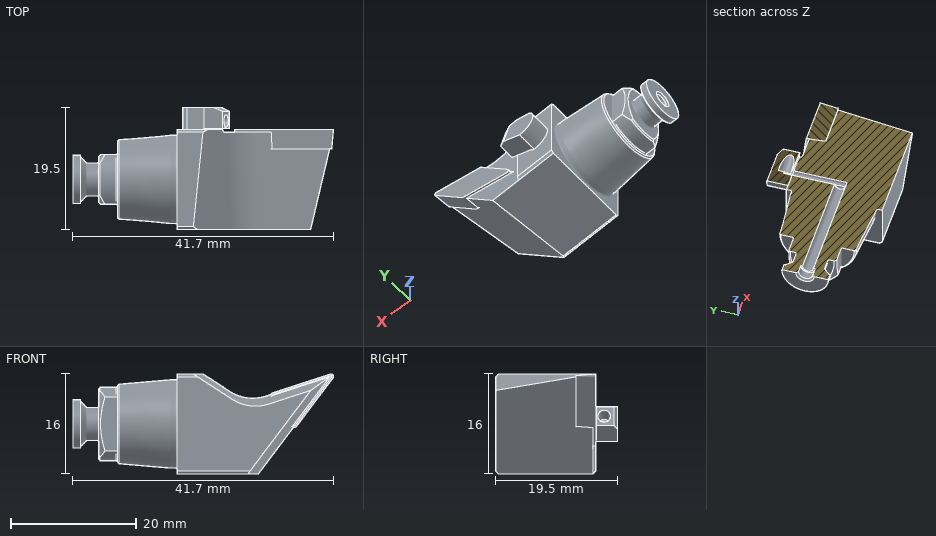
import cadquery as cq
import math


block = 16.0
half = block / 2
block_length = 25.85
block_chamfer = 0.45

knob_back = -16.68
knob_front = -15.43
knob_cone_end = -14.45
nut_back = -12.55
spigot_back = -9.55
taper_start = -9.25
taper_end = -1.0
knob_radius = 3.88
knob_cone_radius = 3.63
neck_radius = 2.65
nut_radius = 5.88
spigot_back_radius = 6.13
taper_start_radius = 6.38
collar_radius = 7.1
neck_fillet = 0.15
root_fillet = 0.2

flat_half_width = 4.0
nut_chamfer = 0.25
bevel_half_width = 3.65
bevel_radius = 11.1
bevel_angle = 42

mouth_radius = 1.5
mouth_bore_radius = 1.15
mouth_bevel_depth = 0.35
mouth_bore_depth = 1.65
coolant_radius = 0.88
drill_half_angle = 59
feed_radius = 0.4

insert_angle = 35
insert_edge = 11.1
insert_thickness = 3.13
clearance_angle = 5
nose_radius = 0.4
tip_x = 25
rake_angle = 18
flank_angle = rake_angle + insert_angle

rake_recess = 0.13
flank_recess = 0.25
valley_radius = 6.85
valley_start_x = 4.15
valley_angle = 33

relief_start_x = 7.3
relief_depth = 0.45
relief_fillet = 0.4

nozzle_x = 3.7
nozzle_radius = 2.85
nozzle_height = 3.5
nozzle_shoulder = (1.6, 1.85)
nozzle_crest = (4.3, nozzle_radius)
nozzle_end_top = (7.3, 2.7)
nozzle_end_bottom = (8.35, -0.2)
tongue_gap = 0.13
tongue_bevel = 0.63
tongue_bevel_length = 1.35
jet_radius = 1.0
jet_height = 1.35


def along(angle, length=1.0):
    """Vector in the XZ plane at an elevation angle in degrees above +X."""
    return length * math.cos(math.radians(angle)), length * math.sin(math.radians(angle))


def shifted(point, angle, length):
    dx, dz = along(angle, length)
    return point[0] + dx, point[1] + dz


def side_plane(y):
    """XZ sketch plane at the given Y, extruding toward -Y."""
    return cq.Workplane("XZ", origin=(0, y, 0))


nose_center = (tip_x - nose_radius, half - nose_radius)
bisector = (rake_angle + flank_angle) / 2
sharp_tip = shifted(nose_center, bisector, nose_radius / math.sin(math.radians(insert_angle / 2)))
rake_corner = shifted(sharp_tip, rake_angle, -insert_edge)
flank_corner = shifted(sharp_tip, flank_angle, -insert_edge)
far_corner = shifted(rake_corner, flank_angle, -insert_edge)


def inclined_prism(sketch, inward_angle):
    """Prism of a sketch at Y = half, run to Y = -half while drifting by the clearance angle."""
    drift = block * math.tan(math.radians(clearance_angle))
    dx, dz = along(inward_angle, drift)
    return cq.Workplane(cq.Solid.extrudeLinear(sketch.val(), [], cq.Vector(dx, -block, dz)))


def insert_outline():
    return cq.Sketch().polygon([sharp_tip, rake_corner, far_corner, flank_corner, sharp_tip])


def insert_plate(outline):
    """Plate whose sides draw in by the clearance angle below its +Y face."""
    return side_plane(half).placeSketch(outline).extrude(insert_thickness, taper=clearance_angle)


def make_insert():
    return insert_plate(insert_outline().vertices().fillet(nose_radius))


def insert_pocket():
    """Recess with sharp corners, open at the tip, so that the insert bears on its flat sides."""
    return insert_plate(insert_outline())


def valley_cutter():
    """Space above the sloping valley and the rake surface."""
    rake_point = shifted(rake_corner, rake_angle + 90, -rake_recess)
    rake_slope = math.tan(math.radians(rake_angle))
    fall_slope = math.tan(math.radians(valley_angle))
    rake_at_start = rake_point[1] + (valley_start_x - rake_point[0]) * rake_slope
    run = (half - rake_at_start) / (rake_slope + fall_slope)
    bottom = (valley_start_x + run, half - run * fall_slope)
    turn = valley_angle + rake_angle
    tangent = valley_radius * math.tan(math.radians(turn / 2))
    arc_start = shifted(bottom, -valley_angle, -tangent)
    arc_end = shifted(bottom, rake_angle, tangent)
    to_center = valley_radius / math.cos(math.radians(turn / 2)) - valley_radius
    arc_middle = shifted(bottom, (rake_angle - valley_angle) / 2 + 90, to_center)
    overshoot = block
    sketch = (
        side_plane(half)
        .moveTo(*shifted(bottom, -valley_angle, -overshoot))
        .lineTo(*arc_start)
        .threePointArc(arc_middle, arc_end)
        .lineTo(*shifted(bottom, rake_angle, 2 * overshoot))
        .close()
    )
    return inclined_prism(sketch.wire(), rake_angle - 90)


def flank_cutter():
    """Space in front of the sloping flank."""
    start = shifted(sharp_tip, flank_angle + 90, flank_recess)
    top = shifted(start, flank_angle, half)
    bottom = shifted(start, flank_angle, -2 * block)
    sketch = side_plane(half).polyline([top, bottom, (top[0], bottom[1])]).close()
    return inclined_prism(sketch.wire(), flank_angle + 90)


def make_block():
    body = cq.Workplane("YZ").rect(block, block).extrude(block_length)
    body = body.edges("|X").chamfer(block_chamfer)
    relief = (
        cq.Workplane("XY")
        .box(block_length, 2 * relief_depth, 2 * block, centered=(False, True, True))
        .edges("<X and <Y")
        .fillet(relief_fillet)
        .translate((relief_start_x, half, 0))
    )
    return body.cut(relief).cut(valley_cutter()).cut(flank_cutter())


def make_turned_spigot():
    outline = [
        (knob_back, 0),
        (knob_back, knob_radius),
        (knob_front, knob_radius),
        (knob_front, knob_cone_radius),
        (knob_cone_end, neck_radius),
        (nut_back, neck_radius),
        (nut_back, nut_radius - nut_chamfer),
        (nut_back + nut_chamfer, nut_radius),
        (spigot_back, nut_radius),
        (spigot_back, spigot_back_radius),
        (taper_start, taper_start_radius),
        (taper_end, collar_radius),
        (0, collar_radius),
        (0, 0),
    ]
    body = cq.Workplane("XZ").polyline(outline).close().revolve(360, (0, 0), (1, 0))
    body = body.edges(ring_at(knob_cone_end, neck_radius)).fillet(neck_fillet)
    body = body.edges(ring_at(nut_back, neck_radius)).fillet(neck_fillet)
    body = body.cut(flats_cutter())
    return body.edges(ring_at(spigot_back, nut_radius)).fillet(root_fillet)


def ring_at(x, radius):
    """Selects the edges in the plane at x that lie within the given radius."""
    reach = radius + 0.05
    return cq.selectors.BoxSelector((x - 0.02, -reach, -reach), (x + 0.02, reach, reach), boundingbox=True)


def flats_cutter():
    """Everything around the nut section outside its flats and the two rear bevels."""
    length = spigot_back - nut_back
    keep = cq.Workplane("YZ", origin=(nut_back, 0, 0)).rect(2 * flat_half_width, block).extrude(length)
    growth = length / math.tan(math.radians(bevel_angle))
    for side in (-1, 1):
        cone = cq.Solid.makeCone(
            bevel_radius,
            bevel_radius + growth,
            length,
            pnt=cq.Vector(nut_back, side * (bevel_half_width - bevel_radius), 0),
            dir=cq.Vector(1, 0, 0),
        )
        keep = keep.intersect(cq.Workplane(cone))
    return cq.Workplane("YZ", origin=(nut_back, 0, 0)).rect(block, block).extrude(length).cut(keep)


def coolant_passage():
    """Bore along the axis, ending in a drill point at a cross bore under the nozzle."""
    bore_end = nozzle_x - feed_radius
    bore_step = knob_back + mouth_bore_depth
    outline = [
        (knob_back, 0),
        (knob_back, mouth_radius),
        (knob_back + mouth_bevel_depth, mouth_bore_radius),
        (bore_step, mouth_bore_radius),
        (bore_step, coolant_radius),
        (bore_end, coolant_radius),
        (bore_end + coolant_radius / math.tan(math.radians(drill_half_angle)), 0),
    ]
    bore = cq.Workplane("XZ").polyline(outline).close().revolve(360, (0, 0), (1, 0))
    cross_bore = side_plane(half).center(nozzle_x, 0).circle(feed_radius).extrude(half + coolant_radius)
    return bore.union(cross_bore)


def make_holder():
    body = make_block().union(make_turned_spigot())
    body = body.edges(ring_at(0, collar_radius)).fillet(root_fillet)
    return body.cut(coolant_passage()).cut(insert_pocket())


def make_nozzle():
    top = half + nozzle_height
    body = (
        side_plane(top)
        .moveTo(*nozzle_shoulder)
        .lineTo(*nozzle_crest)
        .lineTo(*nozzle_end_top)
        .lineTo(*nozzle_end_bottom)
        .lineTo(nozzle_x, -nozzle_radius)
        .threePointArc((nozzle_x - nozzle_radius, 0), nozzle_shoulder)
        .close()
        .extrude(nozzle_height)
    )
    gap = cq.Workplane("XY").box(block, 2 * tongue_gap, block, centered=(False, True, True))
    body = body.cut(gap.translate((nozzle_crest[0], half, 0)))

    end_x = (nozzle_end_top[0] + nozzle_end_bottom[0]) / 2
    end_z = (nozzle_end_top[1] + nozzle_end_bottom[1]) / 2
    aim_x = nozzle_end_top[1] - nozzle_end_bottom[1]
    aim_z = nozzle_end_bottom[0] - nozzle_end_top[0]
    jet_plane = cq.Plane(origin=(end_x, half, end_z), xDir=(0, 1, 0), normal=(aim_x, 0, aim_z))

    outline = [
        (nozzle_height, -tongue_bevel_length),
        (nozzle_height, 0),
        (nozzle_height - tongue_bevel, 0),
    ]
    bevel_normal = cq.Vector(0, 1, 0).cross(jet_plane.zDir)
    aim_plane = cq.Plane(origin=(end_x, half, end_z), xDir=(0, 1, 0), normal=bevel_normal)
    bevel = cq.Workplane(aim_plane).polyline(outline).close().extrude(nozzle_radius, both=True)
    body = body.cut(bevel)

    feed = side_plane(half + jet_height).center(nozzle_x, 0).circle(feed_radius).extrude(jet_height)
    jet_length = (end_x - nozzle_x) / jet_plane.zDir.x
    jet = cq.Workplane(jet_plane).center(jet_height, 0).circle(jet_radius).extrude(-jet_length)
    return body.cut(feed).cut(jet)


insert = make_insert()
holder = make_holder()
nozzle = make_nozzle()

result = cq.Compound.makeCompound([holder.val(), insert.val(), nozzle.val()])